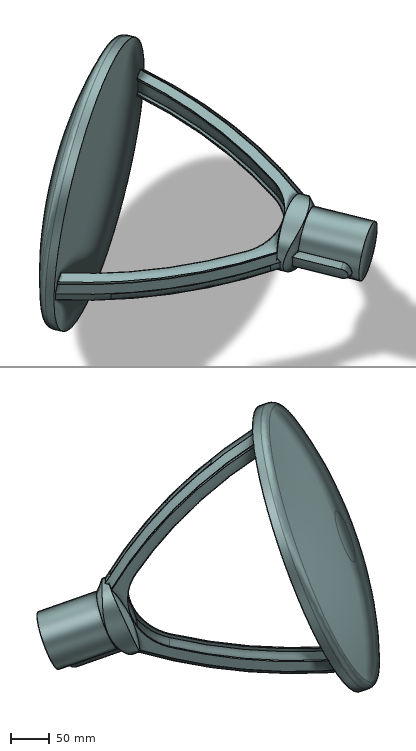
import cadquery as cq
import math


dish_radius = 197.45
dish_depth = 50.0
dish_flat_radius = 35.0
dome_radius = 435.0
rim_fillet = 10.0

total_length = 416.8
pipe_radius = 40.0
pipe_start = 333.0
key_height = 45.3
key_half_width = 9.5
key_root_half_width = 15.5
key_root_height = 36.0
key_round_center = 394.3

hub_front = 299.6
hub_front_radius = 164.0
hub_half_width = 56.2
hub_half_height = 40.9
hub_shoulder = 318.5
hub_blank_radius = 60.0

bend_center_x = -112.0
bend_center_y = -448.0
bend_radius = 660.0
arm_end = 316.0
cap_thickness = 8.8
bar_thickness = 16.0
bar_half_height_at_dish = 19.2
bar_half_height_at_hub = 17.4
bar_edge_half_height = 16.5
bar_bevel = 1.5
groove_depth = 4.5
groove_lip = 2.0
cap_root_half_height = 15.5
cap_face_half_height = 6.5
strip_half_height = 5.2
strip_thickness = 2.0
strip_start = 119.0
strip_end = 304.0
arch_apex = hub_front + 0.04

bar_outer_radius = bend_radius - cap_thickness
bar_inner_radius = bar_outer_radius - bar_thickness


def make_dish():
    """Domed disc with a flat centre and a rounded rim."""
    rise = dish_radius - dish_flat_radius
    edge_x = dome_radius - math.sqrt(dome_radius**2 - rise**2)
    mid_rise = rise / 2
    mid_x = dome_radius - math.sqrt(dome_radius**2 - mid_rise**2)
    blank = (
        cq.Workplane("XY")
        .lineTo(0, dish_flat_radius)
        .threePointArc((mid_x, dish_flat_radius + mid_rise), (edge_x, dish_radius))
        .lineTo(dish_depth, dish_radius)
        .lineTo(dish_depth, 0)
        .close()
        .revolve(360, (0, 0, 0), (1, 0, 0))
    )
    front_rim = cq.selectors.NearestToPointSelector((edge_x, 0, 0))
    return blank.edges("%CIRCLE").edges(front_rim).fillet(rim_fillet)


def make_hub():
    """Turned blank trimmed to an elliptical outline."""

    def front_x(radius):
        return hub_front + hub_front_radius - math.sqrt(hub_front_radius**2 - radius**2)

    cone_slope = (pipe_start - hub_shoulder) / (hub_half_width - pipe_radius)
    blank_shoulder = pipe_start - cone_slope * (hub_blank_radius - pipe_radius)
    mid_radius = hub_blank_radius / 2
    blank = (
        cq.Workplane("XY")
        .moveTo(hub_front, 0)
        .threePointArc((front_x(mid_radius), mid_radius), (front_x(hub_blank_radius), hub_blank_radius))
        .lineTo(blank_shoulder, hub_blank_radius)
        .lineTo(pipe_start, pipe_radius)
        .lineTo(pipe_start, 0)
        .close()
        .revolve(360, (0, 0, 0), (1, 0, 0))
    )
    outline = (
        cq.Workplane("YZ", origin=(hub_front, 0, 0))
        .ellipse(hub_half_width, hub_half_height)
        .extrude(pipe_start - hub_front)
    )
    return blank.intersect(outline)


def make_pipe(hub):
    """Round pipe with a tapered key on its -Y side that runs up to the hub."""
    tube = (
        cq.Workplane("YZ", origin=(pipe_start, 0, 0))
        .circle(pipe_radius)
        .extrude(total_length - pipe_start)
    )
    depth = key_height - key_root_height
    draft = math.degrees(math.atan((key_root_half_width - key_half_width) / depth))
    key = (
        cq.Workplane("XZ", origin=(0, -key_height, 0))
        .moveTo(hub_shoulder, -key_half_width)
        .lineTo(key_round_center, -key_half_width)
        .threePointArc((key_round_center + key_half_width, 0), (key_round_center, key_half_width))
        .lineTo(hub_shoulder, key_half_width)
        .close()
        .extrude(-depth, taper=-draft)
    )
    core = (
        cq.Workplane("YZ", origin=(hub_front, 0, 0))
        .circle(pipe_radius)
        .extrude(pipe_start - hub_front)
    )
    return tube.union(key.cut(core).cut(hub))


def bend(profile):
    """Revolve a (radius, height) outline about the bend centre."""
    return (
        cq.Workplane("XZ", origin=(bend_center_x, bend_center_y, 0))
        .polyline(profile)
        .close()
        .revolve(360, (0, 0, 0), (0, 1, 0))
    )


def slab(start, end):
    """Block that keeps the +Y side between two X positions."""
    size_y = 2 * dish_radius
    block = cq.Workplane("XY", origin=(start, 0, 0))
    return block.box(end - start, size_y, size_y, centered=(False, False, True))


def bend_point(radius, x):
    """Point at a given X on a circle about the bend centre."""
    return (x, bend_center_y + math.sqrt(radius**2 - (x - bend_center_x) ** 2))


def bar_inside(offset):
    """Outline of the space inside the bar's inner edge, grown outward by an offset."""
    apex_offset = arch_apex - bend_center_x
    arch_radius = (bar_inner_radius**2 - apex_offset**2 - bend_center_y**2) / (
        2 * (bar_inner_radius - apex_offset)
    )
    arch_center_x = arch_apex - arch_radius
    tangent_angle = math.atan2(-bend_center_y, arch_center_x - bend_center_x)
    edge_radius = bar_inner_radius + offset
    arch_edge_radius = arch_radius + offset
    tangent = (
        bend_center_x + edge_radius * math.cos(tangent_angle),
        bend_center_y + edge_radius * math.sin(tangent_angle),
    )
    arch_mid = (
        arch_center_x + arch_edge_radius * math.cos(tangent_angle / 2),
        arch_edge_radius * math.sin(tangent_angle / 2),
    )
    inner_mid = bend_point(edge_radius, (dish_depth + tangent[0]) / 2)
    return (
        cq.Workplane("XY")
        .moveTo(dish_depth, 0)
        .lineTo(*bend_point(edge_radius, dish_depth))
        .threePointArc(inner_mid, tangent)
        .threePointArc(arch_mid, (arch_apex + offset, 0))
        .close()
    )


def make_bar(hub):
    """Inner arm: a curved, grooved bar whose inside edge runs tangent into the arch at the hub."""
    taper = (
        cq.Workplane("XZ")
        .polyline([
            (dish_depth, -bar_half_height_at_dish),
            (arm_end, -bar_half_height_at_hub),
            (arm_end, bar_half_height_at_hub),
            (dish_depth, bar_half_height_at_dish),
        ])
        .close()
        .extrude(-dish_radius)
    )
    bevel_radius = bar_outer_radius - bar_bevel
    beveled_disc = bend([
        (0, -bar_half_height_at_dish),
        (bevel_radius, -bar_half_height_at_dish),
        (bar_outer_radius, -bar_edge_half_height),
        (bar_outer_radius, bar_edge_half_height),
        (bevel_radius, bar_half_height_at_dish),
        (0, bar_half_height_at_dish),
    ])
    opening = bar_inside(0).extrude(bar_half_height_at_dish, both=True)
    groove = bar_inside(groove_depth).extrude(bar_half_height_at_hub - groove_lip, both=True)
    return beveled_disc.intersect(taper).cut(opening).cut(groove).cut(hub)


def make_strip():
    """Thin strip let into the outer face of the cap."""
    strip_inner_radius = bend_radius - strip_thickness
    return bend([
        (strip_inner_radius, -strip_half_height),
        (bend_radius, -strip_half_height),
        (bend_radius, strip_half_height),
        (strip_inner_radius, strip_half_height),
    ]).intersect(slab(strip_start, strip_end))


def make_cap(hub, strip):
    """Outer arm: a bent trapezium on the bar, with a pocket for the strip."""
    return (
        bend([
            (bar_outer_radius, -cap_root_half_height),
            (bend_radius, -cap_face_half_height),
            (bend_radius, cap_face_half_height),
            (bar_outer_radius, cap_root_half_height),
        ])
        .intersect(slab(dish_depth, arm_end))
        .cut(hub)
        .cut(strip)
    )


dish = make_dish()
hub = make_hub()
pipe = make_pipe(hub)

strip = make_strip()
arm_parts = []
for arm_part in (make_bar(hub), make_cap(hub, strip), strip):
    arm_parts.append(arm_part.val())
    arm_parts.append(arm_part.mirror("XZ").val())

result = cq.Compound.makeCompound([dish.val(), hub.val(), pipe.val(), *arm_parts])